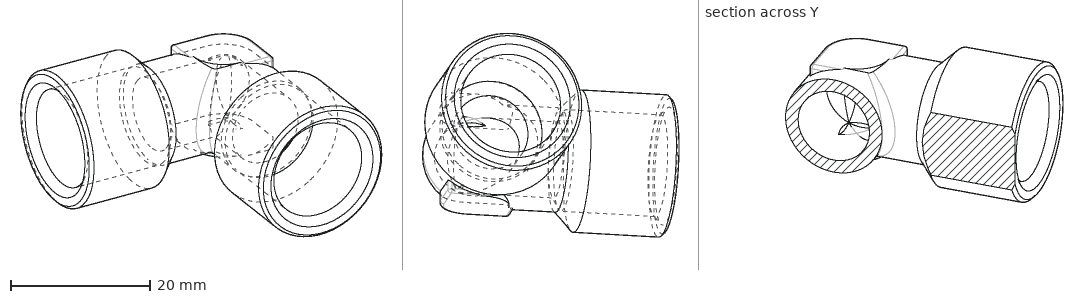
import cadquery as cq
import math

overall_length = 38.25
collar_radius = 10.25
neck_radius = 7.5
neck_length = 12.25
rim_chamfer = 0.5
crotch_fillet = 1.4

mouth_radius = 8.5
thread_radius = 7.3
thread_depth = 15.0
passage_radius = 5.47
passage_overrun = 2.0
drill_point_angle = 118.0

pad_radius = 4.97
pad_reach = 6.0
pad_thickness = 1.87
pad_fillet = 0.5

port_end = overall_length - collar_radius
shoulder_end = neck_length + collar_radius - neck_radius
mouth_chamfer = mouth_radius - thread_radius
drill_slope = math.tan(math.radians(drill_point_angle / 2))
thread_bottom = port_end - thread_depth
thread_tip_length = (thread_radius - passage_radius) / drill_slope
passage_tip_length = passage_radius / drill_slope


def revolve_along_x(profile):
    """Revolve an (axial position, radius) outline about the X axis."""
    sketch = cq.Workplane("XY").polyline(profile).close()
    return sketch.revolve(360, (0, 0, 0), (1, 0, 0))


def for_both_ports(port_x):
    """Join a +X port body with its copy turned onto the -Y axis."""
    port_y = port_x.mirror("YZ").rotate((0, 0, 0), (0, 0, 1), 90)
    return port_x.union(port_y)


def make_necks():
    """Two pipes joined by a ball, with a rounded inner crotch."""
    neck = cq.Workplane("YZ").circle(neck_radius).extrude(neck_length)
    necks = for_both_ports(neck).union(cq.Workplane("XY").sphere(neck_radius))
    crotch_point = (neck_radius, -neck_radius, 0)
    crotch_edges = necks.edges(cq.selectors.NearestToPointSelector(crotch_point))
    return crotch_edges.fillet(crotch_fillet)


def make_collar():
    return revolve_along_x([
        (neck_length, 0),
        (neck_length, neck_radius),
        (shoulder_end, collar_radius),
        (port_end - rim_chamfer, collar_radius),
        (port_end, collar_radius - rim_chamfer),
        (port_end, 0),
    ])


def make_bore():
    """Chamfered thread bore and narrower passage, both with drill points."""
    return revolve_along_x([
        (-passage_overrun - passage_tip_length, 0),
        (-passage_overrun, passage_radius),
        (thread_bottom - thread_tip_length, passage_radius),
        (thread_bottom, thread_radius),
        (port_end - mouth_chamfer, thread_radius),
        (port_end, mouth_radius),
        (port_end, 0),
    ])


def make_top_pad():
    """Rounded pad, trimmed to a quarter circle in the crotch quadrant."""
    width = pad_radius + pad_reach
    pad = (
        cq.Workplane("XY", origin=(-pad_radius, -pad_reach, neck_radius - pad_thickness))
        .rect(width, width, centered=False)
        .extrude(pad_thickness)
    )
    pad = pad.edges("|Z and <X and >Y").fillet(pad_radius)
    pad = pad.edges("|Z and (<X or >X)").edges("<Y or >X").fillet(pad_fillet)
    pad = pad.faces(">Z").edges().fillet(pad_fillet)
    trim = cq.Workplane("XY").rect(pad_reach, -pad_reach, centered=False).extrude(neck_radius)
    trim = trim.cut(cq.Workplane("XY").circle(pad_radius).extrude(neck_radius))
    return pad.cut(trim)


top_pad = make_top_pad()
body = make_necks().union(for_both_ports(make_collar()))
body = body.union(top_pad).union(top_pad.mirror("XY"))
result = body.cut(for_both_ports(make_bore()))